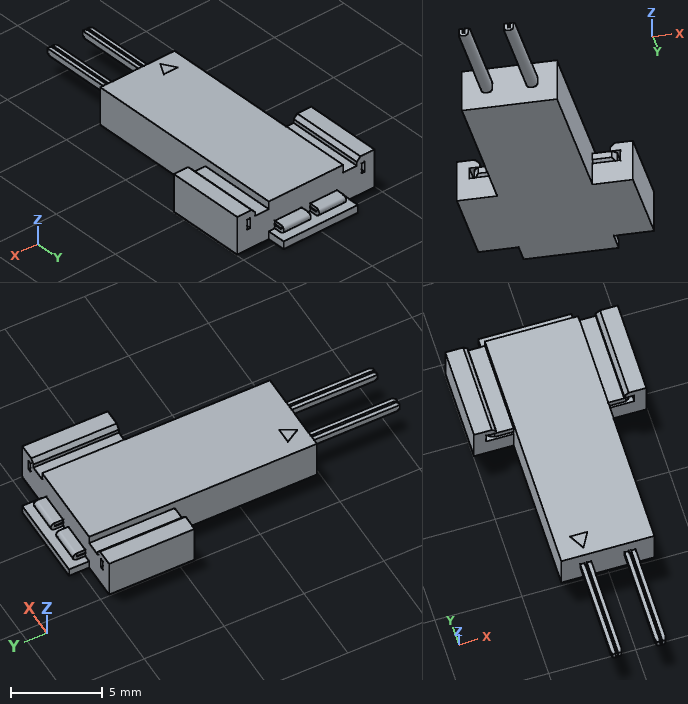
import cadquery as cq

OVERALL_LENGTH = 21.35

BLOCK_WIDTH = 5.35
BLOCK_LENGTH = 14.25
BLOCK_HEIGHT = 2.55
LEDGE_LENGTH = 1.25
LEDGE_HEIGHT = 0.53

OVERALL_WIDTH = 9.9
RAIL_LENGTH = 5.35
RAIL_WALL = 0.7
RAIL_FLOOR = 1.37
LIP_WIDTH = 1.28
LIP_UNDERSIDE = 2.03
LIP_CHAMFER = 0.25

TONGUE_GAP = 0.23
TONGUE_BEVEL = 0.25

PITCH = 2.55

SHEET = 0.25

PIN_SLOT = 0.13
PIN_WIDTH = 2 * SHEET + PIN_SLOT
PIN_HEIGHT = 0.6
PIN_REACH = OVERALL_LENGTH - BLOCK_LENGTH - LEDGE_LENGTH
PIN_TIP_LENGTH = 0.21
PIN_TIP_INSET = 0.06

CONTACT_WIDTH = 1.95
CONTACT_HEIGHT = 2 * SHEET
CONTACT_SLIT = 0.06
CONTACT_REACH = 0.77

SOCKET_DEPTH = 1.2

MARKER_WIDTH = 1.0
MARKER_LENGTH = 0.87
MARKER_SETBACK = 0.45
MARKER_DEPTH = 0.1

HALF_BLOCK = BLOCK_WIDTH / 2
HALF_WIDTH = OVERALL_WIDTH / 2
RAIL_FRONT = BLOCK_LENGTH - RAIL_LENGTH
SLOT_END = HALF_WIDTH - RAIL_WALL
LEDGE_END = BLOCK_LENGTH + LEDGE_LENGTH
TERMINAL_POSITIONS = (-PITCH / 2, PITCH / 2)


def box(x_range, y_range, z_range):
    """Box between two limits along each axis."""
    corner = cq.Vector(x_range[0], y_range[0], z_range[0])
    opposite = cq.Vector(x_range[1], y_range[1], z_range[1])
    size = opposite - corner
    return cq.Workplane("XY").box(*size.toTuple(), centered=False).translate(corner)


def across(x, width):
    """Limits of a width centred on x."""
    return (x - width / 2, x + width / 2)


def make_rail():
    """Rail on the +X side: a floor, an outer wall and a lip with a chamfered top edge."""
    lip_edge = HALF_WIDTH - LIP_WIDTH
    outline = [
        (HALF_BLOCK, 0),
        (HALF_WIDTH, 0),
        (HALF_WIDTH, BLOCK_HEIGHT),
        (lip_edge + LIP_CHAMFER, BLOCK_HEIGHT),
        (lip_edge, BLOCK_HEIGHT - LIP_CHAMFER),
        (lip_edge, LIP_UNDERSIDE),
        (SLOT_END, LIP_UNDERSIDE),
        (SLOT_END, RAIL_FLOOR),
        (HALF_BLOCK, RAIL_FLOOR),
    ]
    profile = cq.Workplane("XZ", origin=(0, BLOCK_LENGTH, 0)).polyline(outline).close()
    return profile.extrude(RAIL_LENGTH)


def make_tongue():
    """Tongue on the +X side, its front end bevelled below and at the tip."""
    tongue = box(
        (HALF_BLOCK, SLOT_END - TONGUE_GAP),
        (RAIL_FRONT, BLOCK_LENGTH),
        (RAIL_FLOOR, LIP_UNDERSIDE),
    )
    return tongue.faces("<Y").edges("<Z or >X").chamfer(TONGUE_BEVEL)


def make_pin(x):
    """Pin folded to a U, open at the top, with round lower edges and a tapered tip."""
    bottom = (BLOCK_HEIGHT - PIN_HEIGHT) / 2
    top = bottom + PIN_HEIGHT
    y_range = (-PIN_REACH, SOCKET_DEPTH)
    pin = box(across(x, PIN_WIDTH), y_range, (bottom, top))
    pin = pin.edges("|Y and <Z").fillet(SHEET)
    pin = pin.faces("<Y").chamfer(PIN_TIP_INSET, PIN_TIP_LENGTH)
    slot = box(across(x, PIN_SLOT), y_range, (bottom + SHEET, top))
    return pin.cut(slot)


def make_contact(x):
    """Contact folded back on itself, with a round nose and a thin slit between its layers."""
    nose = BLOCK_LENGTH + CONTACT_REACH
    nose_centre = nose - CONTACT_HEIGHT / 2
    rear = BLOCK_LENGTH - SOCKET_DEPTH
    top = LEDGE_HEIGHT + CONTACT_HEIGHT
    middle = LEDGE_HEIGHT + CONTACT_HEIGHT / 2
    left = x - CONTACT_WIDTH / 2
    contact = (
        cq.Workplane("YZ", origin=(left, 0, 0))
        .moveTo(rear, LEDGE_HEIGHT)
        .lineTo(nose_centre, LEDGE_HEIGHT)
        .threePointArc((nose, middle), (nose_centre, top))
        .lineTo(rear, top)
        .close()
        .extrude(CONTACT_WIDTH)
    )
    slit = box(across(x, CONTACT_WIDTH), (rear, nose - SHEET), across(middle, CONTACT_SLIT))
    return contact.cut(slit)


def make_marker():
    """Triangle on the first pin's line, pointing to the front."""
    x = TERMINAL_POSITIONS[0]
    left, right = across(x, MARKER_WIDTH)
    base = MARKER_SETBACK + MARKER_LENGTH
    outline = [(x, MARKER_SETBACK), (right, base), (left, base)]
    profile = cq.Workplane("XY", origin=(0, 0, BLOCK_HEIGHT)).polyline(outline).close()
    return profile.extrude(-MARKER_DEPTH)


def make_housing(inserts):
    """Block with its ledge, rails and tongues, and a matching recess for each insert."""
    block = box((-HALF_BLOCK, HALF_BLOCK), (0, BLOCK_LENGTH), (0, BLOCK_HEIGHT))
    ledge = box((-HALF_BLOCK, HALF_BLOCK), (BLOCK_LENGTH, LEDGE_END), (0, LEDGE_HEIGHT))
    side = make_rail().union(make_tongue())
    housing = block.union(ledge).union(side).union(side.mirror("YZ"))
    for insert in inserts:
        housing = housing.cut(insert)
    return housing


pins = [make_pin(x) for x in TERMINAL_POSITIONS]
contacts = [make_contact(x) for x in TERMINAL_POSITIONS]
marker = make_marker()
inserts = [*pins, *contacts, marker]
housing = make_housing(inserts)

result = cq.Compound.makeCompound([
    housing.solids().val(),
    *[insert.solids().val() for insert in inserts],
])